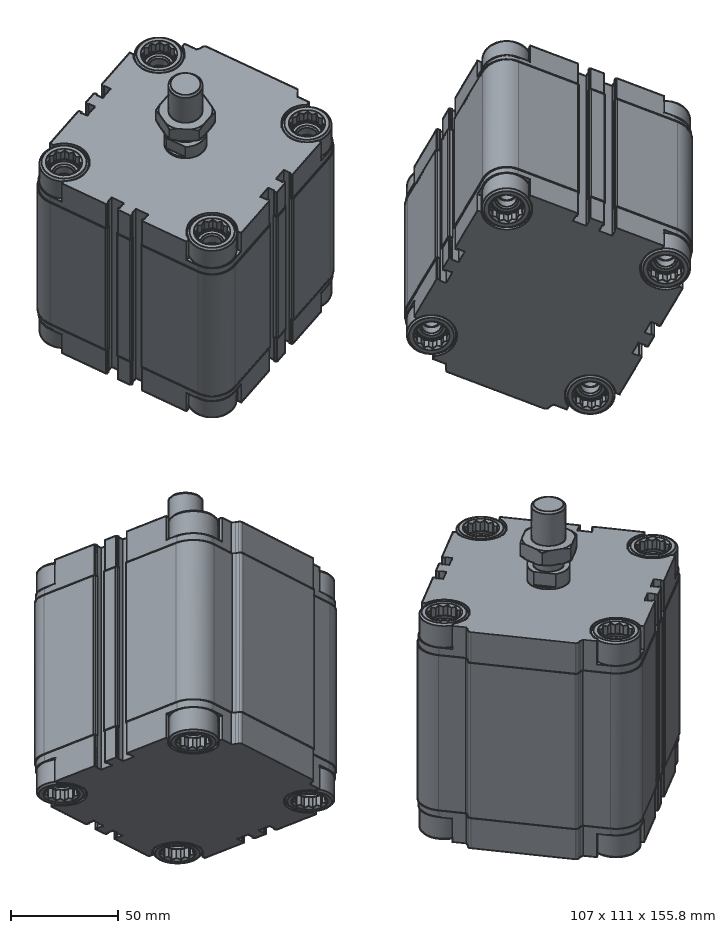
import cadquery as cq
import math

HOUSING_HEIGHT = 115.7
CAP_HEIGHT = 16.3
BARREL_HALF_WIDTH = 53.5
CAP_STEP = 0.5
CAP_HALF_WIDTH = BARREL_HALF_WIDTH - CAP_STEP

RAIL_HEIGHT = 4.0
RAIL_TOP_HALF_WIDTH = 26.0
RAIL_SIDE_LEAN = 0.9
RAIL_EDGE_RADIUS = 1.5
RAIL_FOOT_WIDTH = 1.0
RAIL_FOOT_HEIGHT = 1.4

SLOT_OFFSET = 6.75
SLOT_WIDTH = 6.8
SLOT_FLOOR = 48.0
LIP_INNER_FACE = 51.4
SLOT_OPENING_IN_BARREL = 5.2
SLOT_OPENING_IN_CAPS = 5.8
LIP_BEVEL_DEPTH_TO_WIDTH = 0.7
SLOT_SIDE_ANGLES = (0, -90, 90)

SCREW_OFFSET = 41.0
SCREW_HEAD_DIAMETER = 23.0
SCREW_HEAD_CHAMFER = 1.0
SCREW_HEAD_HEIGHT = 12.5
SCREW_HOLE_DIAMETER = 8.38
CLEARANCE_DIAMETER = 2 * (CAP_HALF_WIDTH - SCREW_OFFSET)
CORNER_NOTCH_START = 34.5
SOCKET_VALLEY_DIAMETER = 14.38
SOCKET_DEPTH = 6.0
SOCKET_MOUTH_DIAMETER = 17.0
SOCKET_POINTS = 12
RELIEF_DIAMETER = 14.16
RELIEF_DEPTH = 7.2
THREAD_MOUTH_DIAMETER = 10.8
THREAD_BORE_DIAMETER = 9.2
THREAD_BORE_DEPTH = 12.5
CORNER_ANGLES = (0, 90, 180, 270)

ROD_DIAMETER = 20.0
ROD_ENGAGEMENT = CAP_HEIGHT
ROD_SHOULDER_HEIGHT = 7.9
ROD_FLATS_WIDTH = 17.0
ROD_FLATS_START = 1.0
NECK_DIAMETER = 14.38
NECK_HEIGHT = 3.3
STUD_DIAMETER = 16.0
STUD_CHAMFER = 1.0
STUD_RING_CONE_HEIGHT = 0.5
STUD_GROOVE_DIAMETER = 15.4
STUD_GROOVE_HEIGHT = 0.6
ROD_PROJECTION = 40.1

NUT_WIDTH_ACROSS_FLATS = 24.0
NUT_HEIGHT = 8.0
NUT_START = 14.1
NUT_CHAMFER_DIAMETER = 25.0
NUT_TURN = 30


def cylinder(diameter, bottom, top):
    return cq.Workplane("XY").workplane(offset=bottom).circle(diameter / 2).extrude(top - bottom)


def cone(bottom_diameter, top_diameter, bottom, top):
    return cq.Workplane(
        cq.Solid.makeCone(bottom_diameter / 2, top_diameter / 2, top - bottom, pnt=cq.Vector(0, 0, bottom))
    )


def rail(half_width, bottom, height):
    """Trapezoidal rail on the +Y face, with rounded outer edges and a flared foot."""
    top_y = half_width + RAIL_HEIGHT
    base_y = half_width
    waist_half_width = RAIL_TOP_HALF_WIDTH + RAIL_SIDE_LEAN
    foot_half_width = waist_half_width + RAIL_FOOT_WIDTH
    profile = [
        (-foot_half_width, base_y),
        (-waist_half_width, base_y + RAIL_FOOT_HEIGHT),
        (-RAIL_TOP_HALF_WIDTH, top_y),
        (RAIL_TOP_HALF_WIDTH, top_y),
        (waist_half_width, base_y + RAIL_FOOT_HEIGHT),
        (foot_half_width, base_y),
        (foot_half_width, 0),
        (-foot_half_width, 0),
    ]
    solid = cq.Workplane("XY").workplane(offset=bottom).polyline(profile).close().extrude(height)
    return solid.edges("|Z and >Y").fillet(RAIL_EDGE_RADIUS)


def slot(half_width, opening, bottom, height):
    """One T-slot in the -Y side, centred on X = 0, with lips bevelled out to the chamber width."""
    bevel_depth = LIP_BEVEL_DEPTH_TO_WIDTH * (SLOT_WIDTH - opening) / 2
    right_side = [
        (SLOT_WIDTH / 2, -SLOT_FLOOR),
        (SLOT_WIDTH / 2, -LIP_INNER_FACE),
        (opening / 2, -LIP_INNER_FACE),
        (opening / 2, -half_width + bevel_depth),
        (SLOT_WIDTH / 2, -half_width),
    ]
    left_side = [(-x, y) for x, y in reversed(right_side)]
    profile = right_side + left_side
    return cq.Workplane("XY").workplane(offset=bottom).polyline(profile).close().extrude(height)


def housing_section(half_width, opening, bottom, height):
    """A length of the housing profile: rounded square, rail and T-slots."""
    corner_radius = half_width - SCREW_OFFSET
    section = (
        cq.Workplane("XY")
        .workplane(offset=bottom)
        .rect(2 * half_width, 2 * half_width)
        .extrude(height)
        .edges("|Z")
        .fillet(corner_radius)
        .union(rail(half_width, bottom, height))
    )
    for angle in SLOT_SIDE_ANGLES:
        for offset in (-SLOT_OFFSET, SLOT_OFFSET):
            cutter = slot(half_width, opening, bottom, height).translate((offset, 0, 0))
            section = section.cut(cutter.rotate((0, 0, 0), (0, 0, 1), angle))
    return section


def corner_notch():
    """Space cleared around a screw head, in the +X +Y top corner."""
    reach = BARREL_HALF_WIDTH + RAIL_HEIGHT - CORNER_NOTCH_START
    notch = cq.Workplane("XY").box(reach, reach, SCREW_HEAD_HEIGHT, centered=False)
    notch = notch.translate((CORNER_NOTCH_START, CORNER_NOTCH_START, HOUSING_HEIGHT - SCREW_HEAD_HEIGHT))
    seat = HOUSING_HEIGHT - SCREW_HEAD_HEIGHT
    head = cylinder(SCREW_HEAD_DIAMETER, seat, HOUSING_HEIGHT).faces(">Z").chamfer(SCREW_HEAD_CHAMFER)
    clearance = cylinder(CLEARANCE_DIAMETER, seat, HOUSING_HEIGHT)
    offset = (SCREW_OFFSET, SCREW_OFFSET, 0)
    return notch.union(clearance.translate(offset)).cut(head.translate(offset))


def socket_star():
    """Twelve-point outline of two hexagons turned 30 degrees to each other."""
    half_step = math.pi / SOCKET_POINTS
    valley_radius = SOCKET_VALLEY_DIAMETER / 2
    tip_radius = valley_radius * math.cos(half_step) / math.cos(math.pi / 6)
    points = []
    for index in range(2 * SOCKET_POINTS):
        radius = tip_radius if index % 2 == 0 else valley_radius
        points.append((radius * math.cos(index * half_step), radius * math.sin(index * half_step)))
    return points


def screw_socket():
    """Drive socket, relief and countersunk thread bore entering a screw head from the top face."""
    top = HOUSING_HEIGHT
    relief_floor = top - RELIEF_DEPTH
    star = cq.Workplane("XY").workplane(offset=top - SOCKET_DEPTH).polyline(socket_star()).close()
    cutter = star.extrude(SOCKET_DEPTH)
    mouth_depth = (SOCKET_MOUTH_DIAMETER - SOCKET_VALLEY_DIAMETER) / 2
    cutter = cutter.union(cone(SOCKET_VALLEY_DIAMETER, SOCKET_MOUTH_DIAMETER, top - mouth_depth, top))
    cutter = cutter.union(cylinder(RELIEF_DIAMETER, relief_floor, top))
    countersink_depth = (THREAD_MOUTH_DIAMETER - THREAD_BORE_DIAMETER) / 2
    countersink_floor = relief_floor - countersink_depth
    cutter = cutter.union(cone(THREAD_BORE_DIAMETER, THREAD_MOUTH_DIAMETER, countersink_floor, relief_floor))
    cutter = cutter.union(cylinder(THREAD_BORE_DIAMETER, top - THREAD_BORE_DEPTH, relief_floor))
    return cutter.translate((SCREW_OFFSET, SCREW_OFFSET, 0))


def at_each_corner(top_feature):
    """Copies of a +X +Y top corner feature at all four corners of both end caps."""
    bottom_feature = top_feature.mirror("XY", (0, 0, HOUSING_HEIGHT / 2))
    copies = []
    for feature in (top_feature, bottom_feature):
        for angle in CORNER_ANGLES:
            copies.append(feature.rotate((0, 0, 0), (0, 0, 1), angle))
    return copies


def build_housing():
    barrel_height = HOUSING_HEIGHT - 2 * CAP_HEIGHT
    upper_cap_bottom = HOUSING_HEIGHT - CAP_HEIGHT
    body = housing_section(BARREL_HALF_WIDTH, SLOT_OPENING_IN_BARREL, CAP_HEIGHT, barrel_height)
    for cap_bottom in (0, upper_cap_bottom):
        body = body.union(housing_section(CAP_HALF_WIDTH, SLOT_OPENING_IN_CAPS, cap_bottom, CAP_HEIGHT))
    for cutter in at_each_corner(corner_notch()) + at_each_corner(screw_socket()):
        body = body.cut(cutter)
    hole = cylinder(SCREW_HOLE_DIAMETER, 0, HOUSING_HEIGHT)
    for x in (-SCREW_OFFSET, SCREW_OFFSET):
        for y in (-SCREW_OFFSET, SCREW_OFFSET):
            body = body.cut(hole.translate((x, y, 0)))
    return body.cut(cylinder(ROD_DIAMETER, HOUSING_HEIGHT - ROD_ENGAGEMENT, HOUSING_HEIGHT))


def build_rod():
    shoulder_top = HOUSING_HEIGHT + ROD_SHOULDER_HEIGHT
    stud_bottom = shoulder_top + NECK_HEIGHT
    flats_bottom = HOUSING_HEIGHT + ROD_FLATS_START
    shoulder = cylinder(ROD_DIAMETER, HOUSING_HEIGHT - ROD_ENGAGEMENT, shoulder_top)
    flats_height = shoulder_top - flats_bottom
    for side in (-1, 1):
        flat = cq.Workplane("XY").box(ROD_DIAMETER, ROD_DIAMETER, flats_height, centered=(True, True, False))
        shoulder = shoulder.cut(flat.translate((0, side * (ROD_FLATS_WIDTH + ROD_DIAMETER) / 2, flats_bottom)))
    neck = cylinder(NECK_DIAMETER, shoulder_top, stud_bottom)
    cone_top = stud_bottom + STUD_RING_CONE_HEIGHT
    stud = cylinder(STUD_DIAMETER, cone_top, HOUSING_HEIGHT + ROD_PROJECTION)
    stud = stud.faces(">Z").chamfer(STUD_CHAMFER)
    stud = stud.union(cone(NECK_DIAMETER, STUD_DIAMETER, stud_bottom, cone_top))
    groove_top = HOUSING_HEIGHT + NUT_START
    groove_bottom = groove_top - STUD_GROOVE_HEIGHT
    groove = cylinder(STUD_DIAMETER, groove_bottom, groove_top)
    groove = groove.cut(cylinder(STUD_GROOVE_DIAMETER, groove_bottom, groove_top))
    return shoulder.union(neck).union(stud).cut(groove)


def build_nut():
    bottom = HOUSING_HEIGHT + NUT_START
    corner_diameter = NUT_WIDTH_ACROSS_FLATS / math.cos(math.pi / 6)
    chamfer_width = (corner_diameter - NUT_CHAMFER_DIAMETER) / 2
    chamfer_height = chamfer_width * math.tan(math.pi / 6)
    hexagon = cq.Workplane("XY").workplane(offset=bottom).polygon(6, corner_diameter).extrude(NUT_HEIGHT)
    hexagon = hexagon.rotate((0, 0, 0), (0, 0, 1), NUT_TURN)
    envelope = cylinder(corner_diameter, bottom, bottom + NUT_HEIGHT)
    envelope = envelope.faces("<Z or >Z").chamfer(chamfer_height, chamfer_width)
    return hexagon.intersect(envelope).cut(cylinder(STUD_DIAMETER, bottom, bottom + NUT_HEIGHT))


housing = build_housing()
rod = build_rod()
nut = build_nut()

result = cq.Compound.makeCompound([housing.val(), rod.val(), nut.val()])